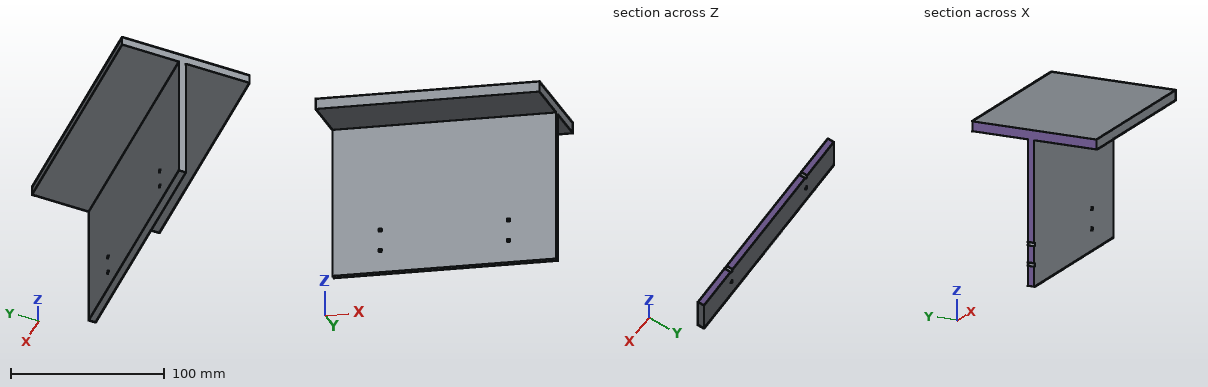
import cadquery as cq

length = 150.0
flange_width = 90.0
total_height = 107.0

flange_thickness = 7.0
web_thickness = 5.0
web_height = total_height - flange_thickness

web_front_y = 0.0

hole_diameter = 2.1
hole_spacing_x = 86.0
hole_heights = (15.0, 29.0)

flange = cq.Workplane("XY").box(length, flange_width, flange_thickness, centered=(True, True, False))
flange = flange.translate((0, 0, web_height))

web = cq.Workplane("XY").box(length, web_thickness, web_height, centered=(True, False, False))
web = web.translate((0, web_front_y, 0))

hole_points = [(side * hole_spacing_x / 2, height) for side in (-1, 1) for height in hole_heights]
web_back_y = web_front_y + web_thickness
holes = (
    cq.Workplane("XZ", origin=(0, web_back_y, 0))
    .pushPoints(hole_points)
    .circle(hole_diameter / 2)
    .extrude(web_thickness)
)

result = flange.union(web).cut(holes)